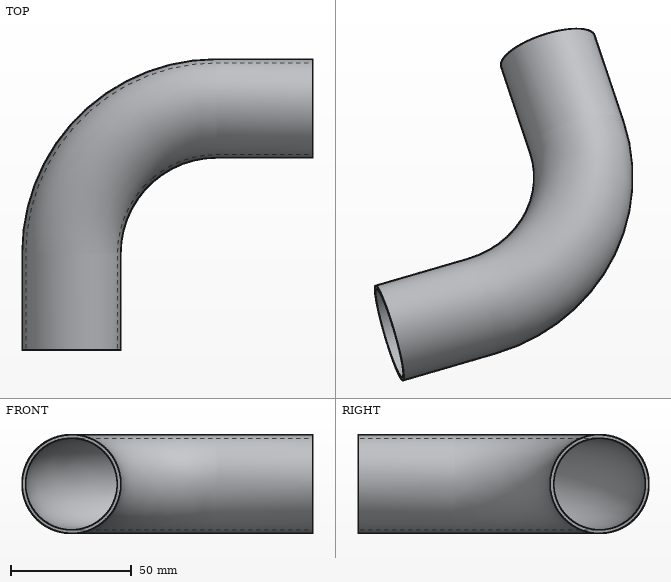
import cadquery as cq

overall_length = 120.5
outer_diameter = 41.0
inner_diameter = 38.0
straight_length = 40.0

outer_radius = outer_diameter / 2
bend_radius = overall_length - straight_length - outer_radius


def bent_rod(diameter):
    """Solid round rod: along +Y, a quarter turn, then along +X."""
    centreline = (
        cq.Workplane("XY")
        .lineTo(0, straight_length)
        .radiusArc((bend_radius, straight_length + bend_radius), bend_radius)
        .lineTo(bend_radius + straight_length, straight_length + bend_radius)
    )
    return cq.Workplane("XZ").circle(diameter / 2).sweep(centreline)


result = bent_rod(outer_diameter).cut(bent_rod(inner_diameter))